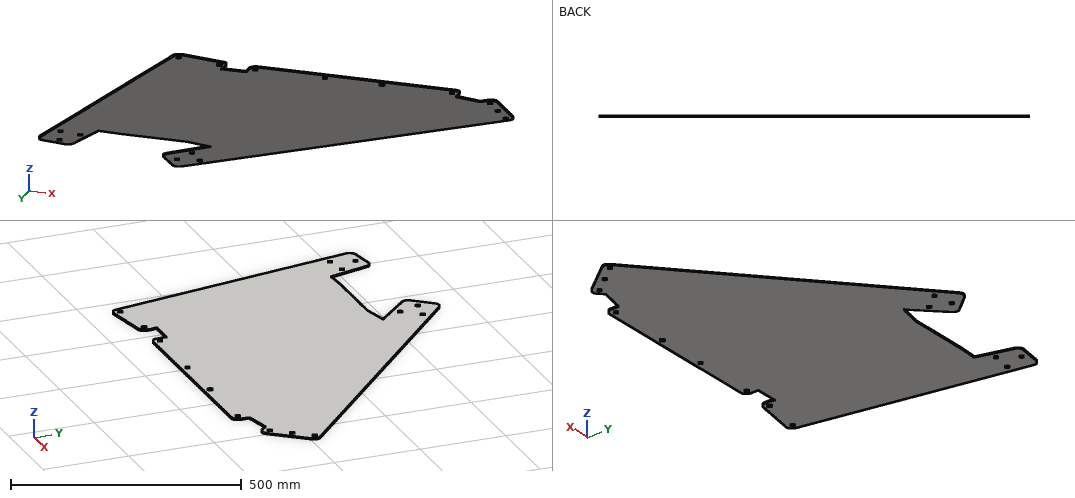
import cadquery as cq
import math

thickness = 3.0
bend_width = 6.0
bend_pitch = 50.0
corner_radius = 15.0
hole_diameter = 9.0
large_hole_diameter = 11.0

panel_top = 181.0
panel_bottom = -316.0
panel_left = -178.0
panel_right = 304.0
relief_y = -279.0

left_tilt = math.radians(15)
right_tilt = math.radians(45)
left_flange_x = -310.0
right_flange_x = 99.0

left_flange_top_inner_y = 284.0
left_flange_top_outer = (-467.0, 271.0)
left_flange_bottom_outer = (-357.0, -338.0)
left_flange_bottom_inner = (-232.0, -316.5)
right_flange_top_inner_y = 277.0
right_flange_top_outer = (-125.0, 342.5)
right_flange_bottom_outer = (472.0, -186.0)
right_flange_bottom_inner_y = -290.0

left_web_top_y = 178.0
right_web_top_y = 194.0
right_web_bottom_y = -266.0

left_flange_holes = [(-419.0, 260.0), (-435.0, 207.0), (-386.0, 215.0), (-346.0, -319.0)]
left_flange_large_hole = (-247.0, -303.0)
right_flange_holes = [
    (-138.0, 292.0), (-88.0, 284.0), (-120.0, 244.0),
    (450.5, -185.0), (419.0, -225.0), (387.0, -265.0),
]
panel_hole_y = -300.0
panel_hole_xs = [-164.0, -4.0, 288.0]
panel_large_hole_x = 127.5


def left_edge(y):
    """Point at height y on the inner edge of the left flange."""
    return (left_flange_x - y * math.tan(left_tilt), y)


def right_edge(y):
    """Point at height y on the inner edge of the right flange."""
    return (right_flange_x - y * math.tan(right_tilt), y)


right_bend_inner_x = right_flange_x - (bend_pitch + bend_width) / math.cos(right_tilt)
left_bend_inner_x = left_flange_x + bend_pitch / math.cos(left_tilt)
left_web_corner = (left_bend_inner_x - panel_top * math.tan(left_tilt), panel_top)
right_web_corner = (right_bend_inner_x + bend_width / math.cos(right_tilt)
                    - panel_top * math.tan(right_tilt), panel_top)
left_flange_end_y = (left_flange_x - left_flange_bottom_inner[0]) / math.tan(left_tilt)

left_flange_corners = [
    left_edge(left_flange_top_inner_y),
    left_flange_top_outer,
    left_flange_bottom_outer,
    left_flange_bottom_inner,
]
panel_corners = [(panel_left, panel_bottom), (panel_right, panel_bottom)]
right_flange_corners = [
    right_edge(right_flange_bottom_inner_y),
    right_flange_bottom_outer,
    right_flange_top_outer,
    right_edge(right_flange_top_inner_y),
]


def make_blank():
    """Extruded outline with rounded flange and panel corners."""
    outline = [
        left_web_corner,
        left_edge(left_web_top_y),
        *left_flange_corners,
        left_edge(left_flange_end_y),
        left_edge(relief_y),
        (panel_left, relief_y),
        *panel_corners,
        (panel_right, relief_y),
        right_edge(right_web_bottom_y),
        *right_flange_corners,
        right_edge(right_web_top_y),
        right_web_corner,
    ]
    blank = cq.Workplane("XY").polyline(outline).close().extrude(thickness)
    for x, y in left_flange_corners + panel_corners + right_flange_corners:
        corner = cq.selectors.NearestToPointSelector((x, y, thickness / 2))
        blank = blank.edges("|Z").edges(corner).fillet(corner_radius)
    return blank


def drill(body, points, diameter):
    """Through holes at the given points."""
    cutter = cq.Workplane("XY").pushPoints(points).circle(diameter / 2).extrude(thickness)
    return body.cut(cutter)


def bend_strip(start_x, tilt, top, bottom):
    """Slanted strip whose left side crosses y = 0 at start_x."""
    width = bend_width / math.cos(tilt)
    top_x = start_x - top * math.tan(tilt)
    bottom_x = start_x - bottom * math.tan(tilt)
    corners = [(top_x, top), (top_x + width, top), (bottom_x + width, bottom), (bottom_x, bottom)]
    return cq.Workplane("XY").polyline(corners).close().extrude(thickness)


blank = make_blank()
panel_holes = [(x, panel_hole_y) for x in panel_hole_xs]
blank = drill(blank, left_flange_holes + panel_holes + right_flange_holes, hole_diameter)
large_holes = [left_flange_large_hole, (panel_large_hole_x, panel_hole_y)]
blank = drill(blank, large_holes, large_hole_diameter)

right_bend_outer_x = right_flange_x - bend_width / math.cos(right_tilt)
bend_strips = [
    bend_strip(left_flange_x, left_tilt, left_web_top_y, relief_y),
    bend_strip(left_bend_inner_x, left_tilt, panel_top, relief_y),
    bend_strip(right_bend_inner_x, right_tilt, panel_top, relief_y),
    bend_strip(right_bend_outer_x, right_tilt, right_web_top_y, right_web_bottom_y),
]
result = blank
for strip in bend_strips:
    bend = result.intersect(strip)
    result = result.cut(strip, clean=False).union(bend, clean=False)